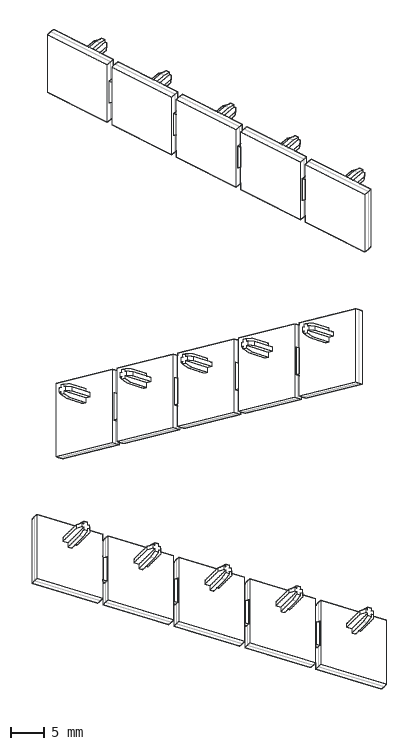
import cadquery as cq

row_length = 59.95
tile_count = 5
tile_width = 11.35
tile_height = 11.5
front_depth = 0.85
back_depth = 0.7
draft_inset = 0.03
tile_pitch = (row_length - tile_width) / (tile_count - 1)
tile_gap = tile_pitch - tile_width

pin_length = 4.9
pin_height = 2.65
rib_thickness = 0.65
rib_taper = 0.05
wide_rib_width = 2.4
wide_rib_tip_width = 1.3
wide_rib_tip_length = 0.85
tall_rib_width = 2.2
tall_rib_tip_width = 1.5
tall_rib_tip_length = 1.3

hinge_height = 4.3
hinge_thickness = 0.85
waist_height = 3.95
waist_thickness = 0.25
hinge_root = 2 * draft_inset


def tile_half(direction, depth):
    """Half a tile, tapering from the parting plane (Y = 0) towards -Y or +Y."""
    taper = 2 * draft_inset
    return (
        cq.Workplane("XZ")
        .rect(tile_width, tile_height)
        .workplane(offset=-direction * depth)
        .rect(tile_width - taper, tile_height - taper)
        .loft(combine=True)
    )


def pin_rib(plane, width, tip_width, tip_length):
    """Flat tapered rib from the parting plane along +Y; the plane's own Y axis is the part's Y."""
    shoulder_width = width - rib_taper
    tip = back_depth + pin_length
    shoulder = tip - tip_length
    return (
        cq.Workplane(plane)
        .polyline([
            (-width / 2, 0),
            (width / 2, 0),
            (shoulder_width / 2, shoulder),
            (tip_width / 2, tip),
            (-tip_width / 2, tip),
            (-shoulder_width / 2, shoulder),
        ])
        .close()
        .extrude(rib_thickness / 2, both=True)
    )


def pin():
    """Cross of one rib spread along X and one spread along Z."""
    across_z = cq.Plane(origin=(0, 0, 0), xDir=(0, 0, 1), normal=(-1, 0, 0))
    wide_rib = pin_rib("XY", wide_rib_width, wide_rib_tip_width, wide_rib_tip_length)
    tall_rib = pin_rib(across_z, tall_rib_width, tall_rib_tip_width, tall_rib_tip_length)
    return wide_rib.union(tall_rib).translate((0, 0, pin_height))


def hinge_half(side):
    """Half a hinge, flaring from the waist (X = 0) to the tile edge on one side."""
    flare = (
        cq.Workplane("YZ")
        .rect(waist_thickness, waist_height)
        .workplane(offset=side * tile_gap / 2)
        .rect(hinge_thickness, hinge_height)
        .loft(combine=True)
    )
    root = cq.Workplane("XY").box(hinge_root, hinge_thickness, hinge_height)
    return flare.union(root.translate((side * (tile_gap + hinge_root) / 2, 0, 0)))


tile = tile_half(-1, front_depth).union(tile_half(1, back_depth)).union(pin())
hinge = hinge_half(-1).union(hinge_half(1))

first_tile_x = -(row_length - tile_width) / 2
result = tile.translate((first_tile_x, 0, 0))
for index in range(1, tile_count):
    tile_x = first_tile_x + index * tile_pitch
    result = result.union(tile.translate((tile_x, 0, 0)))
    result = result.union(hinge.translate((tile_x - tile_pitch / 2, 0, 0)))